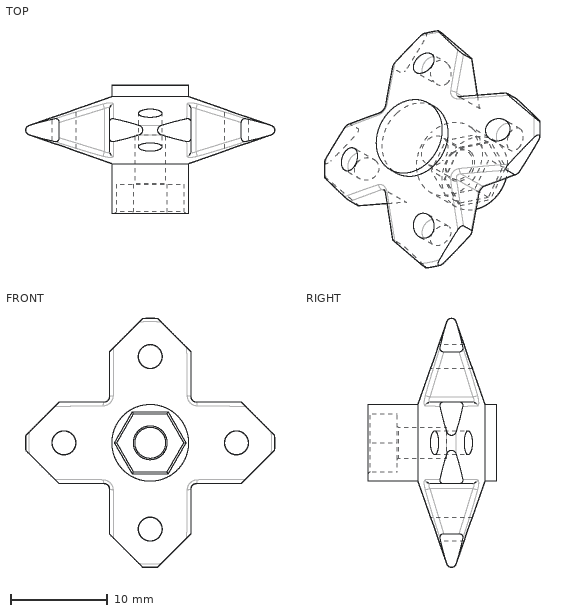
import cadquery as cq
import math

tip_radius = 12.98
tip_round = 0.52
cone_half_thickness = 3.5
arm_half_width = 4.25
tip_half_width = 0.75
edge_round = 0.52
corner_round = 0.52

hub_radius = 4.0
hub_front = 8.7
hub_back = 4.7

arm_hole_diameter = 2.47
arm_hole_distance = 8.99
hex_flats = 6.05
hex_depth = 3.0
hex_chamfer = 0.2
bore_radius = 1.6
bore_depth = 5.2
bore_chamfer = 0.15

FRONT_PLANE = cq.Plane(origin=(0, -hub_front, 0), xDir=(1, 0, 0), normal=(0, -1, 0))


def make_double_cone():
    """Revolve a lens-like section whose rim is an arc tangent to both cones."""
    rim_center = tip_radius - tip_round
    run = rim_center - hub_radius
    slope = math.atan2(cone_half_thickness, run) - math.asin(
        tip_round / math.hypot(run, cone_half_thickness)
    )
    tangent_r = rim_center + tip_round * math.sin(slope)
    tangent_y = tip_round * math.cos(slope)
    return (
        cq.Workplane("XY")
        .moveTo(0, -cone_half_thickness)
        .lineTo(hub_radius, -cone_half_thickness)
        .lineTo(tangent_r, -tangent_y)
        .threePointArc((tip_radius, 0), (tangent_r, tangent_y))
        .lineTo(hub_radius, cone_half_thickness)
        .lineTo(0, cone_half_thickness)
        .close()
        .revolve(360, (0, 0, 0), (0, 1, 0))
    )


def make_cross():
    """Prism along Y with rounded inner corners, longer than the cones' rim."""
    length = 2.4 * tip_radius
    thickness = 4 * cone_half_thickness
    bar = cq.Workplane("XY").box(length, thickness, 2 * arm_half_width)
    cross = bar.union(bar.rotate((0, 0, 0), (0, 1, 0), 90))
    inner = 1.1 * arm_half_width
    inner_corners = cq.selectors.BoxSelector(
        (-inner, -thickness, -inner), (inner, thickness, inner)
    )
    return cross.edges("|Y").edges(inner_corners).fillet(corner_round)


def make_end_trim():
    """Prism that bevels both corners of each arm at 45 degrees."""
    half_diagonal = tip_radius + tip_half_width
    return (
        cq.Workplane("XZ")
        .polyline(
            [(half_diagonal, 0), (0, half_diagonal), (-half_diagonal, 0), (0, -half_diagonal)]
        )
        .close()
        .extrude(2 * cone_half_thickness, both=True)
    )


def on_arm_side(edge):
    """True for the edges where the cones meet the arm sides and inner corners."""
    center = edge.Center()
    off_rim = math.hypot(center.x, center.z) < tip_radius - tip_round
    beside_arm = min(abs(center.x), abs(center.z)) > arm_half_width / 2
    return off_rim and beside_arm and abs(center.y) > tip_round


body = make_double_cone().intersect(make_cross())
side_edges = [edge for edge in body.edges().vals() if on_arm_side(edge)]
body = body.newObject(side_edges).fillet(edge_round)
body = body.intersect(make_end_trim())

hub = cq.Workplane(FRONT_PLANE).circle(hub_radius).extrude(-(hub_front + hub_back))
body = body.union(hub)

arm_holes = (
    cq.Workplane("XZ")
    .polarArray(arm_hole_distance, 0, 360, 4)
    .circle(arm_hole_diameter / 2)
    .extrude(2 * cone_half_thickness, both=True)
)
body = body.cut(arm_holes)

hex_corners = hex_flats / math.cos(math.pi / 6)
mouth_corners = (hex_flats + 2 * hex_chamfer) / math.cos(math.pi / 6)
socket = cq.Workplane(FRONT_PLANE).polygon(6, hex_corners).extrude(-hex_depth)
mouth = (
    cq.Workplane(FRONT_PLANE)
    .polygon(6, mouth_corners)
    .workplane(offset=-hex_chamfer)
    .polygon(6, hex_corners)
    .loft(ruled=True)
)
body = body.cut(socket).cut(mouth)

socket_floor = cq.Workplane(FRONT_PLANE).workplane(offset=-hex_depth)
bore = socket_floor.circle(bore_radius).extrude(-bore_depth)
bore_mouth = (
    socket_floor.circle(bore_radius + bore_chamfer)
    .workplane(offset=-bore_chamfer)
    .circle(bore_radius)
    .loft(ruled=True)
)
result = body.cut(bore).cut(bore_mouth)